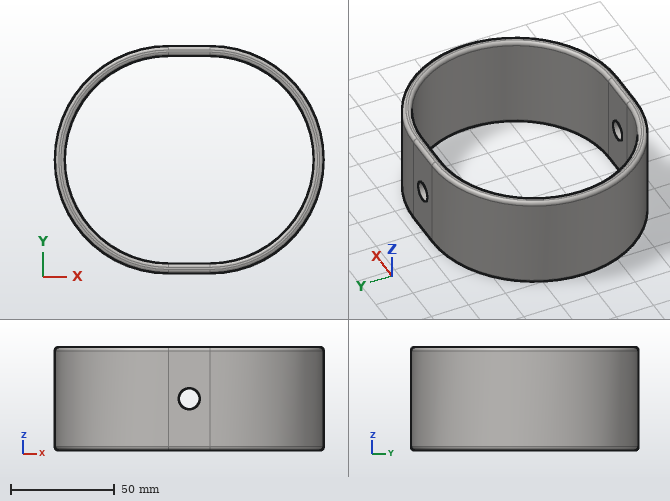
import cadquery as cq

length = 130.0
width = 110.0
height = 50.0

wall = 5.0
rim_radius = 2.0
hole_diameter = 10.0


def oval_prism(inset):
    """Upright solid with two straight sides and half-round ends, inset from the outer face."""
    return (
        cq.Workplane("XY")
        .slot2D(length - 2 * inset, width - 2 * inset)
        .extrude(height / 2, both=True)
    )


band = oval_prism(0).cut(oval_prism(wall))
band = band.faces("|Z").edges().fillet(rim_radius)

cross_hole = cq.Workplane("XZ").circle(hole_diameter / 2).extrude(width, both=True)

result = band.cut(cross_hole)